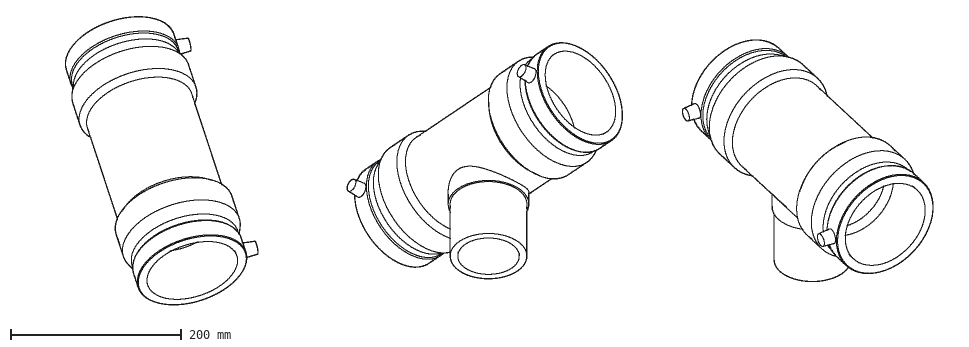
import cadquery as cq

length = 326.0
overall_width = 152.5
overall_height = 218.5
half_length = length / 2
run_radius = 128.8 / 2
bore_radius = 99.0 / 2

rim_radius = 133.0 / 2
neck_radius = 130.5 / 2
bulge_radius = 143.0 / 2
rim_chamfer = 1.0
rim_end = 22.2
neck_start = 24.0
neck_end = 33.0
bulge_start = 49.0
bulge_end = 81.8
socket_end = 89.0

mouth_radius = 110.0 / 2
mouth_end = 22.2
seat_step = 0.15
seat_radius = mouth_radius - seat_step
seat_start = 25.0
seat_end = 71.0
taper_end = 81.8

branch_radius = 90.0 / 2
branch_bore_radius = 72.0 / 2
branch_bottom = overall_height - bulge_radius
collar_radius = 94.5 / 2
collar_bottom = bulge_radius

terminal_tip = overall_width - bulge_radius
terminal_overlap = 1.5
terminal_base = rim_radius - terminal_overlap
terminal_tip_radius = 15.5 / 2
terminal_base_radius = 18.3 / 2
terminal_inset = 12.0


def make_run():
    """Outer run: half a profile revolved about X, then mirrored."""
    half = (
        cq.Workplane("XY")
        .moveTo(-half_length, 0)
        .lineTo(-half_length, rim_radius - rim_chamfer)
        .lineTo(-half_length + rim_chamfer, rim_radius)
        .lineTo(-half_length + rim_end, rim_radius)
        .lineTo(-half_length + neck_start, neck_radius)
        .lineTo(-half_length + neck_end, neck_radius)
        .lineTo(-half_length + bulge_start, bulge_radius)
        .lineTo(-half_length + bulge_end, bulge_radius)
        .lineTo(-half_length + socket_end, run_radius)
        .lineTo(0, run_radius)
        .lineTo(0, 0)
        .close()
        .revolve(360, (0, 0, 0), (1, 0, 0))
    )
    return half.union(half.mirror("YZ"))


def make_run_bore():
    """Space inside the run: the bore with a wider socket at each end."""
    half = (
        cq.Workplane("XY")
        .moveTo(-half_length, 0)
        .lineTo(-half_length, mouth_radius)
        .lineTo(-half_length + mouth_end, mouth_radius)
        .lineTo(-half_length + seat_start, seat_radius)
        .lineTo(-half_length + seat_end, seat_radius)
        .lineTo(-half_length + taper_end, bore_radius)
        .lineTo(0, bore_radius)
        .lineTo(0, 0)
        .close()
        .revolve(360, (0, 0, 0), (1, 0, 0))
    )
    return half.union(half.mirror("YZ"))


def downward_cylinder(radius, depth):
    """Cylinder from the run axis down to the given depth."""
    return cq.Workplane("XY").circle(radius).extrude(-depth)


def make_terminal(x):
    """Tapered pin on the +Y side of a rim."""
    cone = cq.Solid.makeCone(
        terminal_base_radius,
        terminal_tip_radius,
        terminal_tip - terminal_base,
        pnt=cq.Vector(x, terminal_base, 0),
        dir=cq.Vector(0, 1, 0),
    )
    return cq.Workplane("XY").add(cone)


body = make_run()
body = body.union(downward_cylinder(collar_radius, collar_bottom))
body = body.union(downward_cylinder(branch_radius, branch_bottom))
for side in (-1, 1):
    body = body.union(make_terminal(side * (half_length - terminal_inset)))

result = body.cut(make_run_bore()).cut(downward_cylinder(branch_bore_radius, branch_bottom))